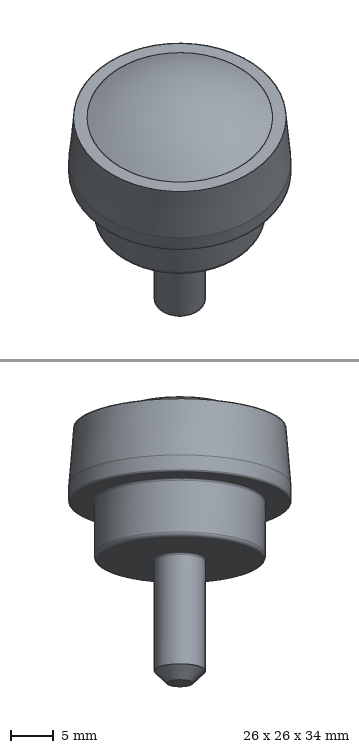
import cadquery as cq

total_height = 34.0

pin_diameter = 6.0
pin_length = 15.0
tip_chamfer = 1.5
pin_root_fillet = 0.2

collar_diameter = 20.0
collar_height = 7.0
collar_edge_fillet = 0.5
collar_root_fillet = 0.2

head_diameter = 25.98
head_top_diameter = 24.82
band_height = 2.0
taper_height = 7.0
head_edge_fillet = 0.2

dome_diameter = 21.65

collar_bottom = pin_length
head_bottom = collar_bottom + collar_height
band_top = head_bottom + band_height
head_top = band_top + taper_height
dome_height = total_height - head_top
pin_radius = pin_diameter / 2
collar_radius = collar_diameter / 2
head_radius = head_diameter / 2
dome_radius = dome_diameter / 2

sphere_radius = (dome_radius**2 + dome_height**2) / (2 * dome_height)
sphere_center = total_height - sphere_radius
arc_mid_radius = dome_radius / 2
arc_mid_height = sphere_center + (sphere_radius**2 - arc_mid_radius**2) ** 0.5

profile = (
    cq.Workplane("XZ")
    .moveTo(0, 0)
    .lineTo(pin_radius - tip_chamfer, 0)
    .lineTo(pin_radius, tip_chamfer)
    .lineTo(pin_radius, collar_bottom - pin_root_fillet)
    .tangentArcPoint((pin_radius + pin_root_fillet, collar_bottom), relative=False)
    .lineTo(collar_radius - collar_edge_fillet, collar_bottom)
    .tangentArcPoint((collar_radius, collar_bottom + collar_edge_fillet), relative=False)
    .lineTo(collar_radius, head_bottom - collar_root_fillet)
    .tangentArcPoint((collar_radius + collar_root_fillet, head_bottom), relative=False)
    .lineTo(head_radius - head_edge_fillet, head_bottom)
    .tangentArcPoint((head_radius, head_bottom + head_edge_fillet), relative=False)
    .lineTo(head_radius, band_top)
    .lineTo(head_top_diameter / 2, head_top)
    .lineTo(dome_radius, head_top)
    .threePointArc((arc_mid_radius, arc_mid_height), (0, total_height))
    .close()
)

result = profile.revolve(360, (0, 0, 0), (0, 1, 0))